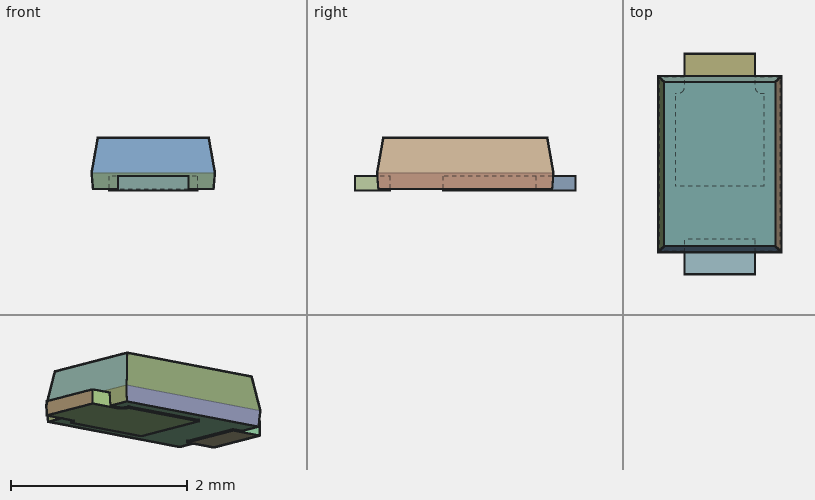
import cadquery as cq
import math

overall_length = 2.5
overall_height = 0.6

housing_width = 1.4
housing_length = 2.0
parting_height = 0.2
standoff = 0.015
upper_draft_angle = 10.0
lower_draft_angle = 5.0

metal_thickness = 0.165
lead_width = 0.8
plain_lead_length = 0.4
pad_width = 1.0
pad_front = -0.25
pad_shoulder = 0.8
shoulder_fillet = 0.075


def make_metal_bar(width, front, back):
    """Flat bar centred on X, spanning front to back along Y."""
    return (
        cq.Workplane("XY")
        .center(0, (front + back) / 2)
        .rect(width, back - front)
        .extrude(metal_thickness)
    )


def make_plain_lead():
    """Straight lead at the -Y end."""
    front = -overall_length / 2
    return make_metal_bar(lead_width, front, front + plain_lead_length)


def make_pad_lead():
    """Lead at the +Y end, widening into the pad with filleted inner corners."""
    pad = make_metal_bar(pad_width, pad_front, pad_shoulder)
    tail = make_metal_bar(lead_width, pad_front, overall_length / 2)
    inner_corners = cq.selectors.BoxSelector(
        (-pad_width / 2 + shoulder_fillet / 4, pad_shoulder - shoulder_fillet, 0),
        (pad_width / 2 - shoulder_fillet / 4, pad_shoulder + shoulder_fillet, metal_thickness),
    )
    return pad.union(tail).edges("|Z").edges(inner_corners).fillet(shoulder_fillet)


def make_tapered_half(height, draft_angle):
    """Block tapering from the parting plane over a signed height."""
    inset = abs(height) * math.tan(math.radians(draft_angle))
    return (
        cq.Workplane("XY", origin=(0, 0, parting_height))
        .rect(housing_width, housing_length)
        .workplane(offset=height)
        .rect(housing_width - 2 * inset, housing_length - 2 * inset)
        .loft(ruled=True)
    )


def make_housing(embedded_bodies):
    """Housing with a matching recess for each embedded body."""
    upper_half = make_tapered_half(overall_height - parting_height, upper_draft_angle)
    lower_half = make_tapered_half(standoff - parting_height, lower_draft_angle)
    housing_body = upper_half.union(lower_half)
    for body in embedded_bodies:
        housing_body = housing_body.cut(body)
    return housing_body


plain_lead = make_plain_lead()
pad_lead = make_pad_lead()
housing = make_housing([plain_lead, pad_lead])

result = cq.Compound.makeCompound(
    [housing.solids().val(), plain_lead.solids().val(), pad_lead.solids().val()]
)